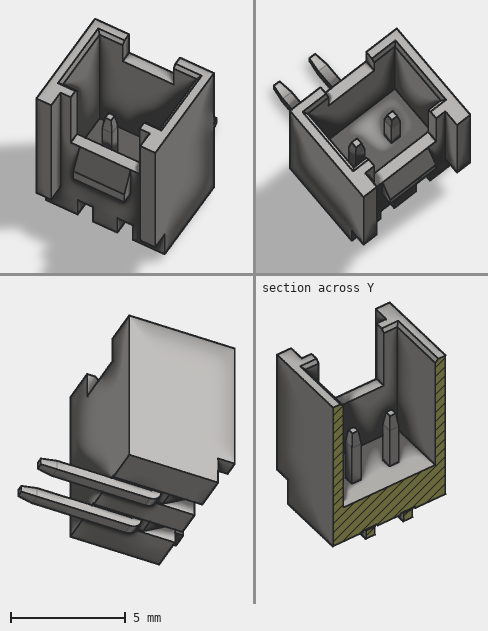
import cadquery as cq

housing_width = 6.0
housing_depth = 4.29
housing_height = 8.1

wall = 0.56
lead_in = 0.16
floor_height = 2.0

back_notch_width = 2.565
back_notch_depth = 1.3
front_notch_width = 3.47
front_notch_depth = 3.215

rib_width = 0.75
rib_reach = 0.81
rib_bottom = 1.4

latch_width = back_notch_width
latch_reach = 0.55
latch_slope_height = 1.14
latch_lip_height = 0.55

pin_pitch = 2.0
pin_size = 0.5
pin_setback = 2.155
pin_top = 4.82
pin_bottom = -0.45
pin_tail_reach = 3.395
pin_bend_radius = 0.6
pin_taper_length = 0.72
pin_top_tip_size = 0.31
pin_tail_tip_size = 0.33

slot_width = 0.77
slot_front_height = 1.03
slot_back_height = 0.085
slot_slope_length = 1.54

pin_positions = [-pin_pitch / 2, pin_pitch / 2]


def block(width, y_min, y_max, z_min, z_max, x_center=0):
    """Box centred on x_center, between the given Y and Z limits."""
    box = cq.Workplane("XY").box(width, y_max - y_min, z_max - z_min, centered=(True, False, False))
    return box.translate((x_center, y_min, z_min))


def side_profile(points, width, x_center=0):
    """Prism from a (Y, Z) outline, centred on x_center."""
    return cq.Workplane("YZ").polyline(points).close().extrude(width / 2, both=True).translate((x_center, 0, 0))


def make_cavity():
    cavity_width = housing_width - 2 * wall
    cavity_depth = housing_depth - 2 * wall
    cavity = block(cavity_width, wall - housing_depth, -wall, floor_height, housing_height)
    flare = (
        cq.Workplane("XY", origin=(0, -housing_depth / 2, housing_height - lead_in))
        .rect(cavity_width, cavity_depth)
        .workplane(offset=lead_in)
        .rect(cavity_width + 2 * lead_in, cavity_depth + 2 * lead_in)
        .loft(ruled=True)
    )
    return cavity.union(flare)


def make_latch():
    front = -housing_depth
    top = housing_height - front_notch_depth
    lip_top = top - latch_slope_height
    lip_bottom = lip_top - latch_lip_height
    outline = [
        (front, top),
        (front - latch_reach, lip_top),
        (front - latch_reach, lip_bottom),
        (front, lip_bottom),
    ]
    return side_profile(outline, latch_width)


def make_slot(x_center):
    outline = [
        (0, 0),
        (0, slot_back_height),
        (slot_slope_length - housing_depth, slot_back_height),
        (-housing_depth, slot_front_height),
        (-housing_depth, 0),
    ]
    return side_profile(outline, slot_width, x_center)


def taper(face, tip_size):
    """Four-sided taper grown outwards from a square pin end."""
    return (
        face.workplane(centerOption="CenterOfMass")
        .rect(pin_size, pin_size)
        .workplane(offset=pin_taper_length)
        .rect(tip_size, tip_size)
        .loft(ruled=True, combine=True)
    )


def make_pin(x_center):
    front = -pin_setback - pin_size / 2
    post = block(pin_size, front, front + pin_size, pin_bottom, pin_top - pin_taper_length)
    tail = block(pin_size, front, pin_tail_reach - pin_taper_length, pin_bottom, pin_bottom + pin_size)
    pin = post.union(tail)
    pin = pin.edges("<Y and <Z").fillet(pin_bend_radius)
    pin = taper(pin.faces(">Z"), pin_top_tip_size)
    pin = taper(pin.faces(">Y"), pin_tail_tip_size)
    return pin.translate((x_center, 0, 0))


result = block(housing_width, -housing_depth, 0, 0, housing_height)
for side in (-1, 1):
    rib_center = side * (housing_width - rib_width) / 2
    rib = block(rib_width, -housing_depth - rib_reach, -housing_depth, rib_bottom, housing_height, rib_center)
    result = result.union(rib)

result = result.cut(make_cavity())
result = result.cut(
    block(back_notch_width, -wall, 0, housing_height - back_notch_depth, housing_height)
)
result = result.cut(
    block(front_notch_width, -housing_depth, wall - housing_depth,
          housing_height - front_notch_depth, housing_height)
)
result = result.union(make_latch())

for pin_x in pin_positions:
    result = result.cut(make_slot(pin_x))
for pin_x in pin_positions:
    result = result.union(make_pin(pin_x))